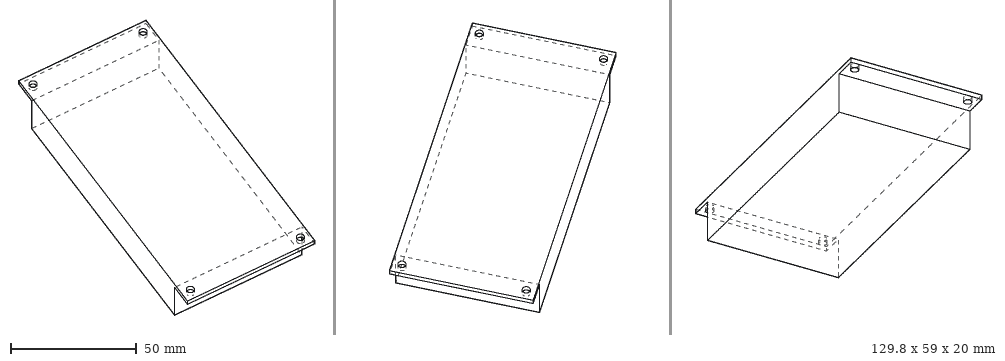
import cadquery as cq

plate_length = 129.8
width = 59.0
total_height = 20.0
plate_thickness = 2.1
body_length = 110.0
hole_diameter = 3.2
hole_spacing_x = 121.0
hole_spacing_y = 51.0

body_height = total_height - plate_thickness

body = cq.Workplane("XY").box(body_length, width, body_height, centered=(True, True, False))

plate = (
    cq.Workplane("XY")
    .workplane(offset=body_height)
    .box(plate_length, width, plate_thickness, centered=(True, True, False))
)

plate = (
    plate.faces(">Z")
    .workplane()
    .rect(hole_spacing_x, hole_spacing_y, forConstruction=True)
    .vertices()
    .hole(hole_diameter)
)

result = body.union(plate)